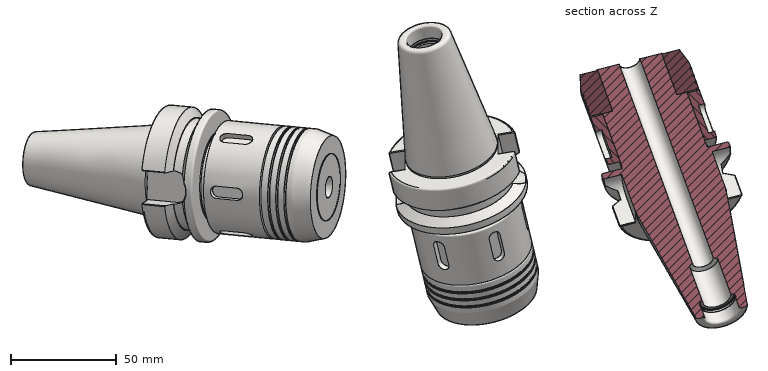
import cadquery as cq
import math


POSITION_TOLERANCE = 0.01

TAPER_LENGTH = 65.4
GAUGE_DIAMETER = 44.45
TAPER_RATIO = 7 / 24
SMALL_END_DIAMETER = GAUGE_DIAMETER - TAPER_RATIO * TAPER_LENGTH
SMALL_END_ROUND = 1.75

RELIEF_DIAMETER = 44.21
RELIEF_LENGTH = 1.0
RELIEF_CHAMFER_LENGTH = 0.4
FLANGE_DIAMETER = 63.0
FLANGE_START = TAPER_LENGTH + RELIEF_LENGTH
FLANGE_END = TAPER_LENGTH + 27.0
FLANGE_ROUND = 1.0
GRIP_CENTER = 83.2
GRIP_FLOOR_DIAMETER = 53.0
GRIP_FLOOR_WIDTH = 4.3
GRIP_STEP_HEIGHT = 0.4
GRIP_FLANK_ANGLE = 30.0
GRIP_DEPTH = (FLANGE_DIAMETER - GRIP_FLOOR_DIAMETER) / 2
GRIP_FLANK_SLOPE = math.tan(math.radians(GRIP_FLANK_ANGLE))
GRIP_MOUTH_WIDTH = GRIP_FLOOR_WIDTH + 2 * GRIP_FLANK_SLOPE * GRIP_DEPTH

KEYWAY_WIDTH = 16.1
KEYWAY_TIP = 89.0
KEYWAY_FLOOR_DISTANCE = 22.4
KEYWAY_MOUTH_CHAMFER = 0.4

COLLAR_DIAMETER = 42.4
COLLAR_LENGTH = 0.6
BARREL_DIAMETER = 42.0
NOSE_DIAMETER = 32.0
TOTAL_LENGTH = 149.6

ENTRY_DIAMETER = 17.0
ENTRY_ROUND = 1.0
ENTRY_DEPTH = 7.0
UNDERCUT_DIAMETER = 17.5
UNDERCUT_WIDTH = 1.2
SEAT_DIAMETER = 16.4
SEAT_DEPTH = 8.7
THREAD_BORE_DIAMETER = 13.84
THREAD_BORE_END = 30.0
THROUGH_HOLE_DIAMETER = 10.11
DRILL_POINT_HALF_ANGLE = 60.0

NUT_DIAMETER = 53.8
NUT_START = 96.2
NUT_END = 124.5
NUT_ROUND = 0.8

WRENCH_SLOT_COUNT = 6
WRENCH_SLOT_START = 99.9
WRENCH_SLOT_LENGTH = 16.1
WRENCH_SLOT_WIDTH = 6.0
WRENCH_SLOT_DEPTH = 3.0

RING_GAP = 0.5
RING_START = NUT_END + RING_GAP
RING_ROUND = 0.9
RING_END = 149.2
RING_CONE_START = 140.6
RING_END_DIAMETER = 49.0
RING_GROOVE_COUNT = 3
RING_GROOVE_START = 128.6
RING_GROOVE_PITCH = 4.05
RING_GROOVE_WIDTH = 0.9
RING_GROOVE_DEPTH = 0.5


def revolve_about_x(profile):
    """Turn a closed profile of (x, radius) lines about the X axis."""
    return profile.close().revolve(360, (0, 0, 0), (1, 0, 0))


def tube(start, end, outer_diameter, inner_diameter):
    """Plain ring along X."""
    return (
        cq.Workplane("YZ", origin=(start, 0, 0))
        .circle(outer_diameter / 2)
        .circle(inner_diameter / 2)
        .extrude(end - start)
    )


def make_shank():
    profile = (
        cq.Workplane("XY")
        .moveTo(0, 0)
        .lineTo(0, SMALL_END_DIAMETER / 2)
        .lineTo(TAPER_LENGTH, GAUGE_DIAMETER / 2)
        .lineTo(TAPER_LENGTH + RELIEF_CHAMFER_LENGTH, RELIEF_DIAMETER / 2)
        .lineTo(FLANGE_START, RELIEF_DIAMETER / 2)
        .lineTo(FLANGE_START, 0)
    )
    return revolve_about_x(profile).faces("<X").edges().fillet(SMALL_END_ROUND)


def make_flange():
    flange = (
        cq.Workplane("YZ", origin=(FLANGE_START, 0, 0))
        .circle(FLANGE_DIAMETER / 2)
        .extrude(FLANGE_END - FLANGE_START)
        .edges()
        .fillet(FLANGE_ROUND)
    )
    half_floor = GRIP_FLOOR_WIDTH / 2
    half_mouth = GRIP_MOUTH_WIDTH / 2
    floor_radius = GRIP_FLOOR_DIAMETER / 2
    step_x = GRIP_CENTER - half_floor - GRIP_FLANK_SLOPE * GRIP_STEP_HEIGHT
    groove = (
        cq.Workplane("XY")
        .moveTo(step_x, floor_radius + GRIP_STEP_HEIGHT)
        .lineTo(step_x, floor_radius)
        .lineTo(GRIP_CENTER + half_floor, floor_radius)
        .lineTo(GRIP_CENTER + half_mouth, FLANGE_DIAMETER / 2)
        .lineTo(GRIP_CENTER - half_mouth, FLANGE_DIAMETER / 2)
    )
    return flange.cut(revolve_about_x(groove))


def make_keyway(side):
    """Flat-floored keyway, open to the taper; side is -1 for -Y, +1 for +Y."""
    half_width = KEYWAY_WIDTH / 2
    arc_center = KEYWAY_TIP - half_width
    return (
        cq.Workplane("XZ", origin=(0, side * KEYWAY_FLOOR_DISTANCE, 0))
        .moveTo(FLANGE_START, -half_width)
        .lineTo(arc_center, -half_width)
        .threePointArc((KEYWAY_TIP, 0), (arc_center, half_width))
        .lineTo(FLANGE_START, half_width)
        .close()
        .extrude(-side * FLANGE_DIAMETER / 2)
    )


def is_keyway_mouth(edge):
    """True where the keyway walls meet the flange face, the rim before the groove and the rim after it."""
    center = edge.Center()
    if abs(center.y) < KEYWAY_FLOOR_DISTANCE + POSITION_TOLERANCE:
        return False
    on_straight_wall = abs(abs(center.z) - KEYWAY_WIDTH / 2) < POSITION_TOLERANCE
    before_groove = center.x < GRIP_CENTER - GRIP_MOUTH_WIDTH / 2
    ends = (edge.startPoint(), edge.endPoint())
    on_far_rim = all(
        GRIP_CENTER < point.x < KEYWAY_TIP + POSITION_TOLERANCE
        and abs(math.hypot(point.y, point.z) - FLANGE_DIAMETER / 2) < POSITION_TOLERANCE
        for point in ends
    )
    at_tip = on_far_rim and edge.geomType() != "CIRCLE"
    return at_tip or (on_straight_wall and before_groove)


def make_barrel():
    collar_end = FLANGE_END + COLLAR_LENGTH
    profile = (
        cq.Workplane("XY")
        .moveTo(FLANGE_END, 0)
        .lineTo(FLANGE_END, COLLAR_DIAMETER / 2)
        .lineTo(collar_end, COLLAR_DIAMETER / 2)
        .lineTo(collar_end, BARREL_DIAMETER / 2)
        .lineTo(RING_START, BARREL_DIAMETER / 2)
        .lineTo(RING_START, NOSE_DIAMETER / 2)
        .lineTo(TOTAL_LENGTH, NOSE_DIAMETER / 2)
        .lineTo(TOTAL_LENGTH, 0)
    )
    return revolve_about_x(profile)


def make_bore():
    entry_radius = ENTRY_DIAMETER / 2
    thread_radius = THREAD_BORE_DIAMETER / 2
    hole_radius = THROUGH_HOLE_DIAMETER / 2
    seat_radius = SEAT_DIAMETER / 2
    undercut_end = ENTRY_DEPTH + UNDERCUT_WIDTH
    drill_angle = math.radians(DRILL_POINT_HALF_ANGLE)
    drill_run = (thread_radius - hole_radius) / math.tan(drill_angle)
    profile = (
        cq.Workplane("XY")
        .moveTo(0, 0)
        .lineTo(0, entry_radius + ENTRY_ROUND)
        .radiusArc((ENTRY_ROUND, entry_radius), -ENTRY_ROUND)
        .lineTo(ENTRY_DEPTH, entry_radius)
        .lineTo(ENTRY_DEPTH, UNDERCUT_DIAMETER / 2)
        .lineTo(undercut_end, UNDERCUT_DIAMETER / 2)
        .lineTo(undercut_end, seat_radius)
        .lineTo(SEAT_DEPTH, seat_radius)
        .lineTo(SEAT_DEPTH, thread_radius)
        .lineTo(THREAD_BORE_END, thread_radius)
        .lineTo(THREAD_BORE_END + drill_run, hole_radius)
        .lineTo(TOTAL_LENGTH, hole_radius)
        .lineTo(TOTAL_LENGTH, 0)
    )
    return revolve_about_x(profile)


def make_holder():
    holder = make_shank().union(make_flange()).union(make_barrel())
    for side in (-1, 1):
        holder = holder.cut(make_keyway(side))
    mouth_edges = [edge for edge in holder.edges().vals() if is_keyway_mouth(edge)]
    holder = holder.newObject(mouth_edges).chamfer(KEYWAY_MOUTH_CHAMFER)
    return holder.cut(make_bore())


def make_wrench_slot():
    """Round-ended blind slot for a hook wrench, on the -Y side."""
    slot_center = WRENCH_SLOT_START + WRENCH_SLOT_LENGTH / 2
    floor_distance = NUT_DIAMETER / 2 - WRENCH_SLOT_DEPTH
    return (
        cq.Workplane("XZ", origin=(slot_center, -floor_distance, 0))
        .slot2D(WRENCH_SLOT_LENGTH, WRENCH_SLOT_WIDTH)
        .extrude(NUT_DIAMETER / 2)
    )


def make_nut_sleeve():
    sleeve = (
        tube(NUT_START, NUT_END, NUT_DIAMETER, BARREL_DIAMETER)
        .faces("<X")
        .edges(cq.selectors.RadiusNthSelector(-1))
        .fillet(NUT_ROUND)
    )
    slot = make_wrench_slot()
    for index in range(WRENCH_SLOT_COUNT):
        angle = index * 360 / WRENCH_SLOT_COUNT
        sleeve = sleeve.cut(slot.rotate((0, 0, 0), (1, 0, 0), angle))
    return sleeve


def make_front_ring():
    outer_radius = NUT_DIAMETER / 2
    bore_radius = NOSE_DIAMETER / 2
    profile = (
        cq.Workplane("XY")
        .moveTo(RING_START, bore_radius)
        .lineTo(RING_START, outer_radius - RING_ROUND)
        .radiusArc((RING_START + RING_ROUND, outer_radius), RING_ROUND)
        .lineTo(RING_CONE_START, outer_radius)
        .lineTo(RING_END, RING_END_DIAMETER / 2)
        .lineTo(RING_END, bore_radius)
    )
    ring = revolve_about_x(profile)
    groove_floor_diameter = NUT_DIAMETER - 2 * RING_GROOVE_DEPTH
    for index in range(RING_GROOVE_COUNT):
        start = RING_GROOVE_START + index * RING_GROOVE_PITCH
        groove = tube(start, start + RING_GROOVE_WIDTH, NUT_DIAMETER, groove_floor_diameter)
        ring = ring.cut(groove)
    return ring


holder = make_holder()
nut_sleeve = make_nut_sleeve()
front_ring = make_front_ring()

result = cq.Compound.makeCompound([holder.val(), nut_sleeve.val(), front_ring.val()])